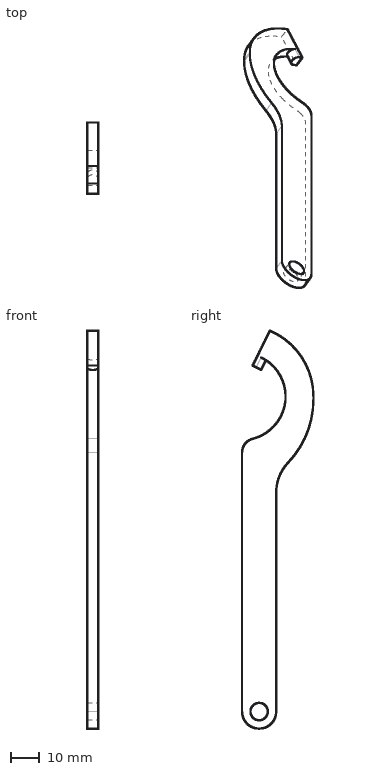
import cadquery as cq
import math


thickness = 4.0
handle_width = 12.0
hole_diameter = 6.0
hole_to_bore = 110.0

bore_radius = 15.2
hook_radius = 25.0
neck_radius = 32.0
neck_straight = 1.0
neck_fillet_radius = 15.0
mouth_radius = 5.0

end_angle = 26.4
end_offset = 1.5
tooth_width = 3.4
tooth_back_radius = thickness / 2
tooth_tip_distance = 11.3

overall_width = hook_radius
handle_end_radius = handle_width / 2
end_reach = math.sqrt(hook_radius**2 - end_offset**2)
end_tilt = math.radians(end_angle)
hook_top = end_reach * math.cos(end_tilt) + end_offset * math.sin(end_tilt)
overall_height = hole_to_bore + handle_end_radius + hook_top

front_edge = -overall_width / 2
back_edge = front_edge + handle_width
bore_centre = (front_edge, overall_height / 2 - hook_top)
hole_centre = (front_edge + handle_width / 2, bore_centre[1] - hole_to_bore)


def polar(centre, radius, angle):
    """Point at a radius and an angle in degrees, measured from +Y toward +Z."""
    a = math.radians(angle)
    return (centre[0] + radius * math.cos(a), centre[1] + radius * math.sin(a))


def end_point(along, across):
    """Point along the end face from the bore centre, and across it into the hook."""
    cos_t = math.cos(end_tilt)
    sin_t = math.sin(end_tilt)
    return (
        bore_centre[0] + along * sin_t + across * cos_t,
        bore_centre[1] + along * cos_t - across * sin_t,
    )


def angle_between(start, target):
    return math.degrees(math.atan2(target[1] - start[1], target[0] - start[0]))


def mid_arc(centre, radius, start, finish):
    """Point halfway round the shorter arc between two points on a circle."""
    middle = ((start[0] + finish[0]) / 2, (start[1] + finish[1]) / 2)
    return polar(centre, radius, angle_between(centre, middle))


def make_plate():
    """Handle and hook without the tooth."""
    mouth_y = front_edge + mouth_radius
    mouth_centre = (
        mouth_y,
        bore_centre[1] - math.sqrt((bore_radius + mouth_radius) ** 2 - mouth_radius**2),
    )
    mouth_start = (front_edge, mouth_centre[1])
    mouth_finish = polar(bore_centre, bore_radius, angle_between(bore_centre, mouth_centre))

    bore_end = end_point(math.sqrt(bore_radius**2 - end_offset**2), -end_offset)
    bore_mid = mid_arc(bore_centre, bore_radius, mouth_finish, bore_end)
    hook_end = end_point(end_reach, -end_offset)

    hook_back = (bore_centre[0] + hook_radius, bore_centre[1])
    hook_mid = mid_arc(bore_centre, hook_radius, hook_end, hook_back)

    neck_start = (hook_back[0], hook_back[1] - neck_straight)
    neck_centre = (neck_start[0] - neck_radius, neck_start[1])
    blend_y = back_edge + neck_fillet_radius
    blend_reach = neck_radius + neck_fillet_radius
    blend_centre = (
        blend_y,
        neck_centre[1] - math.sqrt(blend_reach**2 - (blend_y - neck_centre[0]) ** 2),
    )
    neck_finish = polar(neck_centre, neck_radius, angle_between(neck_centre, blend_centre))
    neck_mid = mid_arc(neck_centre, neck_radius, neck_start, neck_finish)
    blend_finish = (back_edge, blend_centre[1])
    blend_mid = mid_arc(blend_centre, neck_fillet_radius, neck_finish, blend_finish)

    outline = (
        cq.Workplane("YZ", origin=(-thickness / 2, 0, 0))
        .moveTo(front_edge, hole_centre[1])
        .lineTo(*mouth_start)
        .threePointArc(mid_arc(mouth_centre, mouth_radius, mouth_start, mouth_finish), mouth_finish)
        .threePointArc(bore_mid, bore_end)
        .lineTo(*hook_end)
        .threePointArc(hook_mid, hook_back)
        .lineTo(*neck_start)
        .threePointArc(neck_mid, neck_finish)
        .threePointArc(blend_mid, blend_finish)
        .lineTo(back_edge, hole_centre[1])
        .threePointArc((hole_centre[0], hole_centre[1] - handle_end_radius), (front_edge, hole_centre[1]))
        .close()
    )
    return outline.extrude(thickness)


def make_tooth():
    """Tooth along the hook end: flat end face, half-round back, rooted in the hook."""
    tip = end_point(tooth_tip_distance, -end_offset)
    root_distance = (bore_radius + hook_radius) / 2
    tooth_length = root_distance - tooth_tip_distance
    half = thickness / 2
    flat_depth = tooth_width - tooth_back_radius
    section = cq.Plane(
        origin=(0, tip[0], tip[1]),
        xDir=(0, math.cos(end_tilt), -math.sin(end_tilt)),
        normal=(0, math.sin(end_tilt), math.cos(end_tilt)),
    )
    return (
        cq.Workplane(section)
        .moveTo(0, -half)
        .lineTo(flat_depth, -half)
        .threePointArc((tooth_width, 0), (flat_depth, half))
        .lineTo(0, half)
        .close()
        .extrude(tooth_length)
    )


def make_hanging_hole():
    return (
        cq.Workplane("YZ", origin=(-thickness / 2, 0, 0))
        .center(*hole_centre)
        .circle(hole_diameter / 2)
        .extrude(thickness)
    )


result = make_plate().union(make_tooth()).cut(make_hanging_hole())